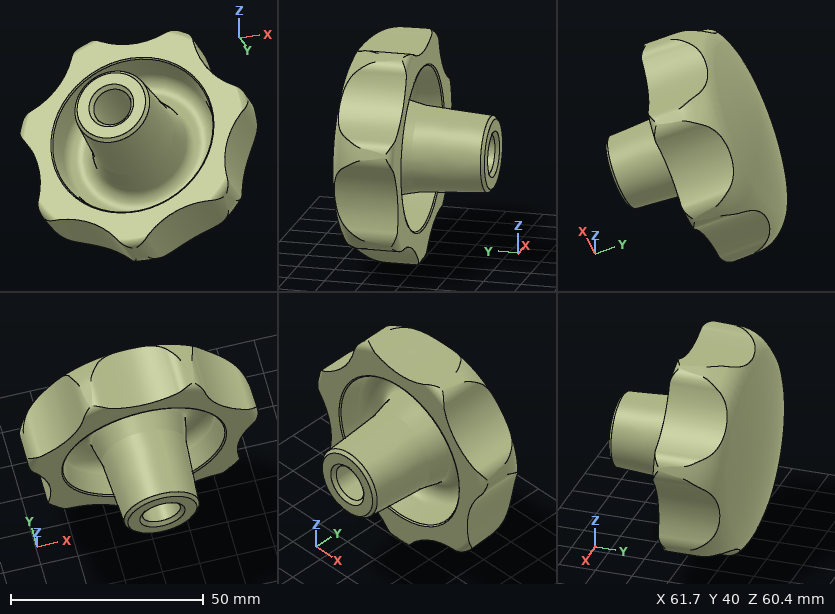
import cadquery as cq
import math


lobe_count = 7
overall_width = 61.7
lobe_radius = 5.0
valley_radius = 26.15
lobe_centre = (overall_width / 2 - lobe_radius) / math.cos(math.pi / (2 * lobe_count))
outer_radius = lobe_centre + lobe_radius

dome_height = 21.0
dome_edge_radius = 23.4
dome_edge_height = 17.95
shoulder_radius = 31.25
shoulder_height = 8.5
rim_rounding = 2.1

recess_mouth_radius = 22.1
recess_edge_chamfer = 0.4
recess_floor_outer_radius = 20.65
recess_floor_inner_radius = 12.6
recess_wall_depth = 5.75

stem_length = 19.0
stem_base_radius = 11.3
stem_end_radius = 10.1
stem_chamfer = 0.85

bore_radius = 10.1 / 2
bore_depth = 21.6
bore_chamfer = 1.0
drill_point_angle = 118


def polar(radius, angle):
    return (radius * math.cos(angle), radius * math.sin(angle))


def revolve_about_y(profile):
    return profile.close().revolve(360, (0, 0, 0), (0, 1, 0))


def make_head():
    profile = (
        cq.Workplane("XY")
        .lineTo(outer_radius - rim_rounding, 0)
        .radiusArc((outer_radius, rim_rounding), -rim_rounding)
        .lineTo(shoulder_radius, shoulder_height)
        .tangentArcPoint((dome_edge_radius, dome_edge_height), relative=False)
    )
    dome_rise = dome_height - dome_edge_height
    dome_radius = (dome_edge_radius**2 + dome_rise**2) / (2 * dome_rise)
    profile = profile.radiusArc((0, dome_height), -dome_radius)
    return revolve_about_y(profile)


def make_star():
    half_pitch = math.pi / lobe_count
    offset = valley_radius - lobe_radius
    scallop_centre = (lobe_centre**2 - offset**2) / (2 * (lobe_centre * math.cos(half_pitch) - offset))
    scallop_radius = scallop_centre - valley_radius

    lobe_share = scallop_radius / (scallop_radius + lobe_radius)
    scallop_point = polar(scallop_centre, half_pitch)
    tangent_x = scallop_point[0] + lobe_share * (lobe_centre - scallop_point[0])
    tangent_y = scallop_point[1] * (1 - lobe_share)
    tangent_radius = math.hypot(tangent_x, tangent_y)
    tangent_angle = math.atan2(tangent_y, tangent_x)

    first_lobe = -math.pi / 2
    outline = cq.Workplane("XZ").moveTo(*polar(tangent_radius, first_lobe - tangent_angle))
    for i in range(lobe_count):
        lobe = first_lobe + 2 * i * half_pitch
        next_lobe = lobe + 2 * half_pitch
        outline = outline.threePointArc(
            polar(outer_radius, lobe), polar(tangent_radius, lobe + tangent_angle)
        )
        outline = outline.threePointArc(
            polar(valley_radius, lobe + half_pitch), polar(tangent_radius, next_lobe - tangent_angle)
        )
    return outline.close().extrude(-dome_height)


def make_recess():
    profile = (
        cq.Workplane("XY")
        .moveTo(stem_base_radius, 0)
        .lineTo(recess_mouth_radius, 0)
        .lineTo(recess_mouth_radius - recess_edge_chamfer, recess_edge_chamfer)
        .lineTo(recess_floor_outer_radius, recess_wall_depth)
        .radiusArc(
            (recess_floor_inner_radius, recess_wall_depth),
            -(recess_floor_outer_radius - recess_floor_inner_radius) / 2,
        )
    )
    return revolve_about_y(profile)


def make_stem():
    profile = (
        cq.Workplane("XY")
        .lineTo(stem_base_radius, 0)
        .lineTo(stem_end_radius, stem_chamfer - stem_length)
        .lineTo(stem_end_radius - stem_chamfer, -stem_length)
        .lineTo(0, -stem_length)
    )
    return revolve_about_y(profile)


def make_bore():
    bore_end = bore_depth - stem_length
    point_length = bore_radius / math.tan(math.radians(drill_point_angle / 2))
    profile = (
        cq.Workplane("XY")
        .moveTo(0, -stem_length)
        .lineTo(bore_radius + bore_chamfer, -stem_length)
        .lineTo(bore_radius, bore_chamfer - stem_length)
        .lineTo(bore_radius, bore_end)
        .lineTo(0, bore_end + point_length)
    )
    return revolve_about_y(profile)


head = make_head().intersect(make_star()).cut(make_recess())
result = head.union(make_stem()).cut(make_bore())